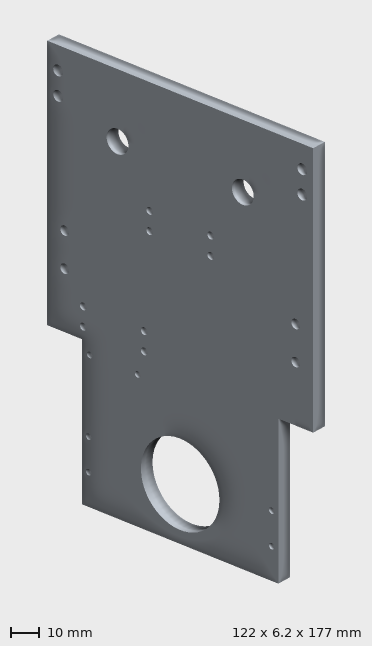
import cadquery as cq

plate_thickness = 6.2
plate_height = 177.0
upper_width = 122.0
lower_width = 90.0
lower_height = 65.0

opening_diameter = 36.0
opening_z = 23.5

medium_hole_diameter = 10.0
medium_hole_spacing = 57.5
medium_hole_z = 148.5

corner_hole_diameter = 4.5
corner_hole_spacing = 112.0
corner_hole_z = 157.0
corner_hole_pitch = 10.0

side_hole_diameter = 4.0
side_hole_spacing = 106.0
side_hole_z = 90.0
side_hole_pitch = 15.0

mount_hole_diameter = 3.0
mount_spacing = 28.0
mount_pitch = 8.0
centre_mount_z = 118.3
offset_mount_x = -30.5
offset_mount_z = 70.1

small_hole_diameter = 2.5
small_pair_spacing = 22.0
small_pair_z = 60.0
lower_hole_spacing = 84.0
lower_hole_z = 13.7
lower_hole_pitch = 14.0


def make_plate():
    """Stepped plate with its mid-plane at Y = 0 and its bottom edge at Z = 0."""
    lower_panel = cq.Workplane("XY").box(
        lower_width, plate_thickness, lower_height, centered=(True, True, False)
    )
    upper_panel = (
        cq.Workplane("XY")
        .workplane(offset=lower_height)
        .box(upper_width, plate_thickness, plate_height - lower_height, centered=(True, True, False))
    )
    return lower_panel.union(upper_panel)


def pair_points(spacing, z, centre_x=0.0):
    """Two points at height z, spread evenly about centre_x."""
    return [(centre_x - spacing / 2, z), (centre_x + spacing / 2, z)]


def four_points(spacing, bottom_z, pitch, centre_x=0.0):
    """Two rows of paired points, the upper row one pitch above bottom_z."""
    bottom_row = pair_points(spacing, bottom_z, centre_x)
    top_row = pair_points(spacing, bottom_z + pitch, centre_x)
    return bottom_row + top_row


def hole_cutter(points, diameter):
    """Cylinders along Y through the full plate thickness at the (x, z) points."""
    back_face = cq.Workplane("XZ").workplane(offset=-plate_thickness / 2)
    return back_face.pushPoints(points).circle(diameter / 2).extrude(plate_thickness)


centre_mount = four_points(mount_spacing, centre_mount_z, mount_pitch)
offset_mount = four_points(mount_spacing, offset_mount_z, mount_pitch, offset_mount_x)

hole_groups = [
    ([(0, opening_z)], opening_diameter),
    (pair_points(medium_hole_spacing, medium_hole_z), medium_hole_diameter),
    (four_points(corner_hole_spacing, corner_hole_z, corner_hole_pitch), corner_hole_diameter),
    (four_points(side_hole_spacing, side_hole_z, side_hole_pitch), side_hole_diameter),
    (centre_mount + offset_mount, mount_hole_diameter),
    (pair_points(small_pair_spacing, small_pair_z, offset_mount_x), small_hole_diameter),
    (four_points(lower_hole_spacing, lower_hole_z, lower_hole_pitch), small_hole_diameter),
]

result = make_plate()
for points, diameter in hole_groups:
    result = result.cut(hole_cutter(points, diameter))